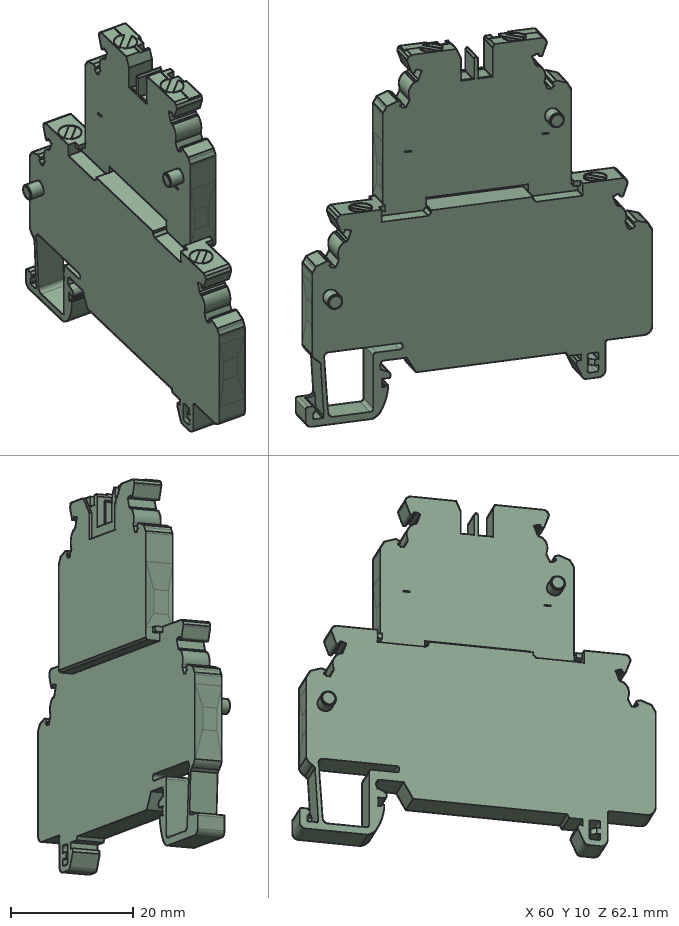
import cadquery as cq


thickness = 4.9
tower_front = 2.55
tower_back = tower_front + thickness
base_half = 29.45
tower_half = 16.35
base_top = 36.65
tower_top = 62.1

base_bottom = 7.2
base_side_bottom = 12.7
right_bottom = 8.5
hook_left = -30.55
hook_floor = 1.3
hook_top = 3.6
foot_wall_right = 21.4
foot_bottom = 2.1

ledge_z = 34.5
pad_z = 35.4
pad_half = 8.8
foot_half = 17.4
flange_bottom = 35.8
flange_front = 1.3
flange_back = 6.2

slot_half = 2.75
slot_floor = 56.4
slot_back = 7.0
blade_left = -0.5
blade_right = 0.2
blade_top = 60.4

screw_diameter = 3.8
screw_recess = 0.095
driver_slot_width = 1.2
driver_slot_depth = 0.095
base_screw_x = 20.3
tower_screw_x = 7.2
screw_y = 2.1
entry_depth = 0.1
pin_length = tower_front
pin_chamfer = 0.2

cut_margin = 0.6


def xz_plane(front):
    """Sketch plane at Y = front, with local axes X and Z."""
    return cq.Workplane("XZ", origin=(0, front, 0))


def block(x_range, y_range, z_range):
    """Axis-aligned box between the given limits."""
    size = [high - low for low, high in (x_range, y_range, z_range)]
    corner = (x_range[0], y_range[0], z_range[0])
    return cq.Workplane("XY").box(*size, centered=False).translate(corner)


def prism(points, front, back):
    """Straight-sided outline in XZ, extruded from Y = front to Y = back."""
    return xz_plane(front).polyline(points).close().extrude(front - back)


def both_sides(shape):
    """The shape together with its mirror image across X = 0."""
    return shape.union(shape.mirror("YZ"))



def base_plate():
    """Base module with its left hook leg and right clamping foot."""
    return (
        xz_plane(0)
        .moveTo(-base_half, base_top)
        .lineTo(-base_half, base_side_bottom)
        .threePointArc((-29.1, 12.0), (-28.4, 11.45))
        .lineTo(-27.95, 10.95)
        .lineTo(-27.4, 1.6)
        .lineTo(-27.6, hook_floor)
        .lineTo(-29.1, hook_floor)
        .lineTo(-29.25, 1.5)
        .lineTo(-29.25, 2.25)
        .lineTo(-28.8, 2.8)
        .lineTo(-28.8, 3.2)
        .lineTo(-29.25, hook_top)
        .lineTo(-30.15, hook_top)
        .threePointArc((-30.45, 3.5), (hook_left, 3.15))
        .lineTo(hook_left, 0.95)
        .threePointArc((-30.25, 0.3), (-29.5, 0))
        .lineTo(-19.0, 0)
        .threePointArc((-18.15, 0.5), (-17.5, 1.2))
        .threePointArc((-16.7, 3.0), (-16.3, 4.9))
        .lineTo(-16.3, 5.6)
        .lineTo(-16.8, 5.6)
        .lineTo(-16.9, 5.35)
        .lineTo(-17.35, 5.35)
        .lineTo(-17.35, 6.85)
        .lineTo(-16.0, 6.85)
        .threePointArc((-15.85, 7.4), (-16.3, 7.95))
        .lineTo(-17.4, 8.45)
        .threePointArc((-17.65, 9.25), (-17.2, 10.0))
        .lineTo(-13.05, 10.0)
        .lineTo(-11.45, base_bottom)
        .lineTo(14.55, base_bottom)
        .lineTo(14.85, 6.6)
        .lineTo(17.15, 6.6)
        .lineTo(17.15, 5.5)
        .lineTo(16.45, 5.5)
        .lineTo(16.3, 4.9)
        .lineTo(17.35, 2.6)
        .threePointArc((17.65, 2.25), (18.1, foot_bottom))
        .lineTo(20.1, foot_bottom)
        .threePointArc((21.0, 2.5), (foot_wall_right, 3.35))
        .lineTo(foot_wall_right, right_bottom - 0.25)
        .lineTo(foot_wall_right + 0.25, right_bottom)
        .lineTo(base_half - 1.35, right_bottom)
        .threePointArc((base_half - 0.45, right_bottom + 0.45), (base_half, right_bottom + 1.35))
        .lineTo(base_half, base_top)
        .close()
        .extrude(-thickness)
    )


def tower_plate():
    """Tower module, chamfered along its lower back edge."""
    back_chamfer = 0.4
    plate = block((-tower_half, tower_half), (tower_front, tower_back), (ledge_z, tower_top))
    return plate.faces("<Z").edges(">Y").chamfer(back_chamfer)


def side_relief(edge_x, top_z, front):
    """Cutter for the stepped, hooked side of a module head, on its left."""
    outside = edge_x + cut_margin

    def at(inset, drop):
        return (inset - edge_x, top_z - drop)

    return (
        xz_plane(front)
        .moveTo(-outside, top_z + cut_margin)
        .lineTo(*at(5, -cut_margin))
        .lineTo(*at(5, 0))
        .lineTo(*at(4.5, 0.3))
        .lineTo(*at(4.2, 0.9))
        .lineTo(*at(4.3, 1.1))
        .lineTo(*at(5, 3.0))
        .threePointArc(at(5.3, 3.2), at(5.6, 3.1))
        .lineTo(*at(5.7, 2.75))
        .lineTo(*at(6.1, 2.75))
        .lineTo(*at(6.8, 3.05))
        .lineTo(*at(6.2, 4.55))
        .lineTo(*at(5.9, 4.85))
        .lineTo(*at(5.5, 4.9))
        .threePointArc(at(4.6, 6.1), at(4.6, 7.45))
        .lineTo(*at(4.65, 7.95))
        .lineTo(*at(4.05, 9.15))
        .lineTo(*at(3.5, 9.15))
        .lineTo(*at(3.0, 8.7))
        .lineTo(*at(3.2, 8.45))
        .lineTo(*at(3.2, 8.1))
        .lineTo(*at(2.6, 7.8))
        .lineTo(*at(0.7, 8.5))
        .lineTo(*at(0.5, 8.9))
        .lineTo(*at(0.05, 9.55))
        .lineTo(*at(0, 9.9))
        .lineTo(-outside, top_z - 9.9)
        .close()
        .extrude(-thickness)
    )



def leg_window():
    """Opening between the flexible leg and the rail post, with a relief slit."""
    return (
        xz_plane(0)
        .moveTo(-26.7, 12.75)
        .lineTo(-14.3, 12.75)
        .threePointArc((-13.7, 12.2), (-14.3, 11.6))
        .lineTo(-18.3, 11.6)
        .threePointArc((-18.7, 11.5), (-18.8, 11.1))
        .lineTo(-18.8, 1.85)
        .threePointArc((-19.0, 1.4), (-19.45, hook_floor))
        .lineTo(-25.9, hook_floor)
        .threePointArc((-26.4, 1.55), (-26.65, 2.2))
        .lineTo(-27.35, 11.9)
        .threePointArc((-27.15, 12.5), (-26.7, 12.75))
        .close()
        .extrude(-thickness)
    )


def hook_web():
    """Thin web closing the back of the hook, rounded up onto the leg."""
    web_front = 4.05
    return (
        xz_plane(web_front)
        .moveTo(-29.5, hook_floor)
        .lineTo(-27.35, hook_floor)
        .lineTo(-27.5, 4.6)
        .threePointArc((-27.7, 3.9), (-28.2, hook_top))
        .lineTo(-29.5, hook_top)
        .close()
        .extrude(web_front - thickness)
    )


def foot_window():
    """Rounded opening in the clamping foot, with a ramped tooth left standing."""
    left, right = 18.25, 20.1
    low, high = 3.15, 6.6
    tooth_z = (4.3, 5.35)
    tooth_front_x = 19.5
    tooth_tip_x = 18.7
    ramp_depth = 0.8
    corner_radius = 0.4
    opening = block((left, right), (0, thickness), (low, high)).edges("|Y").fillet(corner_radius)
    tooth_outline = [
        (right, 0), (tooth_front_x, 0), (tooth_tip_x, ramp_depth),
        (tooth_tip_x, thickness), (right, thickness),
    ]
    tooth = (
        cq.Workplane("XY", origin=(0, 0, tooth_z[0]))
        .polyline(tooth_outline)
        .close()
        .extrude(tooth_z[1] - tooth_z[0])
    )
    return opening.cut(tooth)



def joint_notch():
    """Front step in the base that leaves two ledges and a raised middle pad."""
    flare = 0.5
    left_half = [
        (-foot_half, ledge_z), (-pad_half - flare, ledge_z), (-pad_half, ledge_z + flare),
        (-pad_half, pad_z),
    ]
    right_half = [(-x, z) for x, z in reversed(left_half)]
    top = [(foot_half, base_top), (-foot_half, base_top)]
    return prism(left_half + right_half + top, 0, tower_front)


def joint_gap():
    """Gap above the pad, reaching under the tower."""
    return block((-pad_half, pad_half), (tower_front, thickness), (pad_z, base_top))


def joint_flanges():
    """Locking flanges that stick out on both sides of the tower foot."""
    flange = block((-foot_half, -tower_half), (flange_front, flange_back), (flange_bottom, base_top))
    return both_sides(flange)



def bridge_slot():
    """Slot between the tower heads, less the thin blade standing in it."""
    outline = [
        (-slot_half, slot_floor), (slot_half, slot_floor), (slot_half, 61.5),
        (3.0, tower_top), (-3.55, tower_top), (-slot_half, 60.3),
    ]
    blade_shoulder = blade_top - 0.4
    blade_middle = (blade_left + blade_right) / 2
    blade_outline = [
        (blade_left, slot_floor), (blade_right, slot_floor), (blade_right, blade_shoulder),
        (blade_middle, blade_top), (blade_left, blade_shoulder),
    ]
    tray_margin = 0.4
    tray_z = (slot_floor - 0.2, slot_floor)
    tray_y = (tower_front + tray_margin, slot_back - tray_margin)
    tray = block((-slot_half, slot_half), tray_y, tray_z)
    blade = prism(blade_outline, tower_front, slot_back)
    blade_root = block((blade_left, blade_right), tray_y, tray_z)
    return prism(outline, tower_front, tower_back).union(tray).cut(blade).cut(blade_root)


def back_recess():
    """Shallow recess in the back of the tower, flaring out at the top."""
    lower_half, upper_half = 4.8, 7.3
    floor_z, flare_z = 54.7, 59.0
    outline = [
        (-lower_half, floor_z), (lower_half, floor_z), (lower_half, flare_z), (upper_half, tower_top),
        (-upper_half, tower_top), (-lower_half, flare_z),
    ]
    return prism(outline, slot_back, tower_back)


def head_steps():
    """Slightly lowered back half of the tower heads."""
    step_front, step_depth = 5.1, 0.2
    return block(
        (-tower_half, tower_half), (step_front, tower_back), (tower_top - step_depth, tower_top)
    )


def head_pockets():
    """Small square pockets behind the tower screws."""
    pocket_depth = 1.85
    pocket = block((-5.35, -3.9), (5.85, slot_back), (tower_top - pocket_depth, tower_top))
    return both_sides(pocket)



def add_screw(body, x, y, top_z):
    """Body with a screw head set just below top_z, with a diagonal driver slot."""
    head_height = 0.3
    head_z = top_z - screw_recess
    radius = screw_diameter / 2
    head_top = cq.Workplane("XY", origin=(x, y, head_z))
    clearance = head_top.circle(radius).extrude(screw_recess)
    head = head_top.circle(radius).extrude(-head_height)
    slot = (
        head_top.transformed(rotate=(0, 0, -45))
        .rect(screw_diameter, driver_slot_width)
        .extrude(-driver_slot_depth)
        .intersect(head)
    )
    return body.cut(clearance).union(head).cut(slot)


def wire_entry(face_x, front, outer_z, inner_z):
    """Shallow funnel in the left side of a module, as wide as the module."""
    inner_width = 2.6
    outer_height = outer_z[1] - outer_z[0]
    inner_height = inner_z[1] - inner_z[0]
    outer_middle = (front + thickness / 2, sum(outer_z) / 2)
    inner_middle = (front + screw_y, sum(inner_z) / 2)
    return (
        cq.Workplane("YZ", origin=(-face_x, 0, 0))
        .center(*outer_middle)
        .rect(thickness, outer_height)
        .workplane(offset=entry_depth)
        .center(inner_middle[0] - outer_middle[0], inner_middle[1] - outer_middle[1])
        .rect(inner_width, inner_height)
        .loft(ruled=True)
    )


def pin(x, z, front, diameter):
    """Locating pin standing out of a front face, with a chamfered tip."""
    shank = xz_plane(front).center(x, z).circle(diameter / 2).extrude(pin_length)
    return shank.faces("<Y").chamfer(pin_chamfer)


def latch_slits():
    """Two fine slits across the tower front."""
    slit_x = (-12.4, -11.4)
    slit_z = (45.1, 45.2)
    slit_depth = 0.2
    slit = block(slit_x, (tower_front, tower_front + slit_depth), slit_z)
    return both_sides(slit)



base = (
    base_plate()
    .union(hook_web())
    .cut(both_sides(side_relief(base_half, base_top, 0)))
    .cut(leg_window())
    .cut(foot_window())
)
tower = tower_plate().cut(both_sides(side_relief(tower_half, tower_top, tower_front)))

result = base.cut(joint_notch()).union(tower).cut(joint_gap()).union(joint_flanges())
for cutter in (bridge_slot(), back_recess(), head_steps(), head_pockets(), latch_slits()):
    result = result.cut(cutter)

for side in (-1, 1):
    result = add_screw(result, side * base_screw_x, screw_y, base_top)
    result = add_screw(result, side * tower_screw_x, tower_front + screw_y, tower_top)

base_entry = wire_entry(base_half, 0, (base_side_bottom, 25.2), (17.7, 21.5))
tower_entry = wire_entry(tower_half, tower_front, (base_top, 47.5), (39.0, 43.0))
result = result.cut(both_sides(base_entry)).cut(both_sides(tower_entry))

base_pin = pin(x=-26.3, z=22.5, front=0, diameter=2.55)
tower_pin = pin(x=13.0, z=48.3, front=tower_front, diameter=2.5)
result = result.union(base_pin).union(tower_pin)